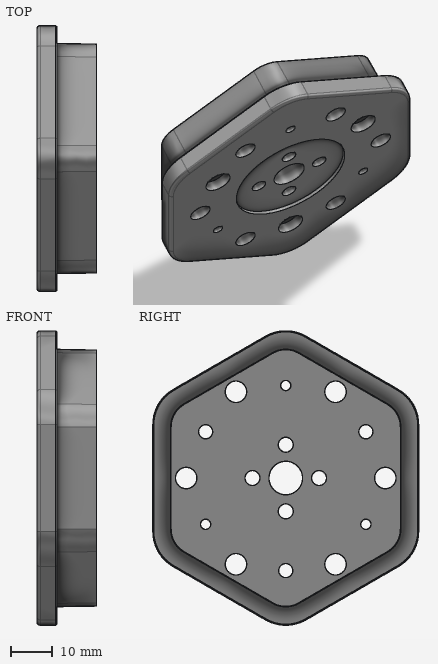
import cadquery as cq
import math

FLANGE_ACROSS_FLATS = 63.7
FLANGE_HEIGHT = 70.5
FLANGE_THICKNESS = 4.8
FRONT_EDGE_FILLET = 0.85
BACK_EDGE_CHAMFER = 0.3

TOTAL_DEPTH = 14.3
BOSS_ACROSS_FLATS = 55.15
BOSS_CORNER_RADIUS = 6.35
BOSS_TAPER_DEGREES = 1.0

RECESS_DIAMETER = 28.6
RECESS_DEPTH = 0.85
CENTRE_BORE_DIAMETER = 8.0
INNER_HOLE_DIAMETER = 3.5
INNER_CIRCLE_RADIUS = 8.0

LARGE_HOLE_DIAMETER = 5.1
LARGE_CIRCLE_RADIUS = 23.85
SMALL_HOLE_DIAMETER = 2.4
SCREW_HOLE_DIAMETER = 3.3
COUNTERBORE_DIAMETER = 6.35
COUNTERBORE_DEPTH = 2.55
SCREW_CIRCLE_RADIUS = 22.15
SCREW_START_ANGLE = 30
SMALL_START_ANGLE = SCREW_START_ANGLE + 60

HEXAGON_SIDES = 6
CORNER_FACTOR = 1 / math.cos(math.pi / HEXAGON_SIDES)
SHARP_FLANGE_HEIGHT = FLANGE_ACROSS_FLATS * CORNER_FACTOR
FLANGE_CORNER_RADIUS = (SHARP_FLANGE_HEIGHT - FLANGE_HEIGHT) / (2 * (CORNER_FACTOR - 1))


def hexagon_prism(across_flats, x_start, length, corner_radius, taper=0):
    """Hexagonal prism along +X with rounded corners and two of its points on the Z axis."""
    outline = (
        cq.Sketch()
        .regularPolygon(across_flats * CORNER_FACTOR / 2, HEXAGON_SIDES)
        .vertices()
        .fillet(corner_radius)
    )
    return cq.Workplane("YZ", origin=(x_start, 0, 0)).placeSketch(outline).extrude(length, taper=taper)


def cylinders(diameter, depth, circle_radius=0, count=1, start_angle=0):
    """Cylinders running in from X = 0, evenly spaced on a circle; the angle is taken from +Y towards +Z."""
    return (
        cq.Workplane("YZ")
        .polarArray(circle_radius, start_angle, 360, count)
        .circle(diameter / 2)
        .extrude(depth)
    )


flange = (
    hexagon_prism(FLANGE_ACROSS_FLATS, 0, FLANGE_THICKNESS, FLANGE_CORNER_RADIUS)
    .faces("<X").edges().fillet(FRONT_EDGE_FILLET)
    .faces(">X").edges().chamfer(BACK_EDGE_CHAMFER)
)
boss = hexagon_prism(
    BOSS_ACROSS_FLATS,
    FLANGE_THICKNESS,
    TOTAL_DEPTH - FLANGE_THICKNESS,
    BOSS_CORNER_RADIUS,
    BOSS_TAPER_DEGREES,
)

result = (
    flange.union(boss)
    .cut(cylinders(RECESS_DIAMETER, RECESS_DEPTH))
    .cut(cylinders(CENTRE_BORE_DIAMETER, TOTAL_DEPTH))
    .cut(cylinders(INNER_HOLE_DIAMETER, TOTAL_DEPTH, INNER_CIRCLE_RADIUS, 4))
    .cut(cylinders(LARGE_HOLE_DIAMETER, TOTAL_DEPTH, LARGE_CIRCLE_RADIUS, 6))
    .cut(cylinders(SCREW_HOLE_DIAMETER, TOTAL_DEPTH, SCREW_CIRCLE_RADIUS, 3, SCREW_START_ANGLE))
    .cut(cylinders(COUNTERBORE_DIAMETER, COUNTERBORE_DEPTH, SCREW_CIRCLE_RADIUS, 3, SCREW_START_ANGLE))
    .cut(cylinders(SMALL_HOLE_DIAMETER, TOTAL_DEPTH, SCREW_CIRCLE_RADIUS, 3, SMALL_START_ANGLE))
)